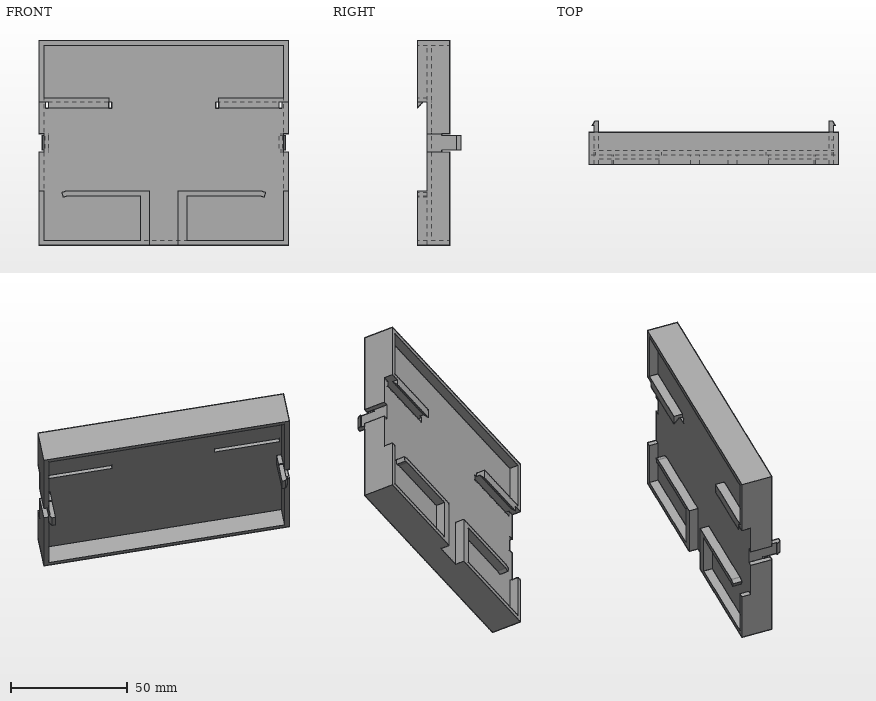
import cadquery as cq
import math

WIDTH = 107.0
HEIGHT = 87.7
BODY_DEPTH = 13.9
TOTAL_DEPTH = 18.7
WALL = 2.1
PLATE_THICKNESS = 2.0
RIM_DEPTH = 4.1
PLATE_BACK = RIM_DEPTH + PLATE_THICKNESS
LEFT = -WIDTH / 2

BAR_TOP = 63.1
BAR_BOTTOM = 61.3
BAR_END = LEFT + 30.0
HOOK_START = LEFT + 4.1
HOOK_DROP = 2.6
HOOK_DEPTH = 2.4
SLOT_MARGIN = 1.2

FRAME_TOP = 23.3
RIB_WIDTH = 4.0
CHANNEL_WIDTH = 12.2
RIB_INNER = -CHANNEL_WIDTH / 2
ARM_BEND_X = LEFT + 12.0
ARM_TIP_LENGTH = 2.2
ARM_TIP_TILT = 18.0

NOTCH_HEIGHT = 7.7
TAB_HEIGHT = 6.3
TAB_THICKNESS = 2.0
TAB_BASE_BACK = 10.5
BARB_REACH = 0.7
BARB_LENGTH = 1.9
BARB_TIP_FLAT = 1.6


def box(x0, x1, y0, y1, z0, z1):
    """Box between two opposite corners."""
    return cq.Workplane("XY").box(x1 - x0, y1 - y0, z1 - z0, centered=False).translate((x0, y0, z0))


def with_mirror(solid):
    """A left-hand feature together with its right-hand twin."""
    return solid.union(solid.mirror("YZ"))


def make_shell():
    """Tray with the plate in front and an open back."""
    shell = box(LEFT, -LEFT, RIM_DEPTH, BODY_DEPTH, 0, HEIGHT)
    cavity = box(LEFT + WALL, -LEFT - WALL, PLATE_BACK, BODY_DEPTH, WALL, HEIGHT - WALL)
    return shell.cut(cavity)


def make_upper_rim():
    """Left side of the upper rim, its bar and the wedge-shaped hook."""
    side = box(LEFT, LEFT + WALL, 0, RIM_DEPTH, BAR_BOTTOM, HEIGHT)
    top = box(LEFT, 0, 0, RIM_DEPTH, HEIGHT - WALL, HEIGHT)
    bar = box(LEFT, BAR_END, 0, RIM_DEPTH, BAR_BOTTOM, BAR_TOP)
    hook = (
        cq.Workplane("YZ", origin=(HOOK_START, 0, 0))
        .moveTo(0, BAR_BOTTOM)
        .lineTo(0, BAR_BOTTOM - HOOK_DROP)
        .lineTo(HOOK_DEPTH, BAR_BOTTOM)
        .close()
        .extrude(BAR_END - HOOK_START)
    )
    return side.union(top).union(bar).union(hook)


def make_hook_slot():
    """Opening through the plate behind the hook."""
    return box(
        HOOK_START - SLOT_MARGIN, BAR_END + SLOT_MARGIN,
        RIM_DEPTH, PLATE_BACK,
        BAR_BOTTOM - HOOK_DROP, BAR_BOTTOM,
    )


def make_arm():
    """Horizontal arm of constant thickness whose free end tilts downward."""
    tilt = math.radians(ARM_TIP_TILT)
    tip_x = ARM_BEND_X - ARM_TIP_LENGTH * math.cos(tilt)
    tip_z = FRAME_TOP - ARM_TIP_LENGTH * math.sin(tilt)
    miter_shift = WALL * math.tan(tilt / 2)
    return (
        cq.Workplane("XZ")
        .moveTo(RIB_INNER, FRAME_TOP)
        .lineTo(ARM_BEND_X, FRAME_TOP)
        .lineTo(tip_x, tip_z)
        .lineTo(tip_x + WALL * math.sin(tilt), tip_z - WALL * math.cos(tilt))
        .lineTo(ARM_BEND_X + miter_shift, FRAME_TOP - WALL)
        .lineTo(RIB_INNER, FRAME_TOP - WALL)
        .close()
        .extrude(-RIM_DEPTH)
    )


def make_lower_frame():
    """Left lower frame: side, bottom, inner rib and arm."""
    side = box(LEFT, LEFT + WALL, 0, RIM_DEPTH, 0, FRAME_TOP)
    bottom = box(LEFT, RIB_INNER, 0, RIM_DEPTH, 0, WALL)
    rib = box(RIB_INNER - RIB_WIDTH, RIB_INNER, 0, RIM_DEPTH, 0, FRAME_TOP)
    return side.union(bottom).union(rib).union(make_arm())


def make_side_notch():
    """Gap through the left wall beside the snap tab."""
    z0 = (HEIGHT - NOTCH_HEIGHT) / 2
    return box(LEFT, LEFT + WALL, RIM_DEPTH, BODY_DEPTH, z0, z0 + NOTCH_HEIGHT)


def make_snap_tab():
    """Tab just inside the left wall, on a wider base, with an outward barb."""
    outer = LEFT + WALL
    inner = outer + TAB_THICKNESS
    base_z = (HEIGHT - NOTCH_HEIGHT) / 2
    base = box(outer, inner, RIM_DEPTH, TAB_BASE_BACK, base_z, base_z + NOTCH_HEIGHT)
    barb_start = TOTAL_DEPTH - BARB_LENGTH
    tab = (
        cq.Workplane("XY", origin=(0, 0, (HEIGHT - TAB_HEIGHT) / 2))
        .moveTo(inner, RIM_DEPTH)
        .lineTo(inner, TOTAL_DEPTH)
        .lineTo(inner - BARB_TIP_FLAT, TOTAL_DEPTH)
        .lineTo(outer - BARB_REACH, barb_start)
        .lineTo(outer, barb_start)
        .lineTo(outer, RIM_DEPTH)
        .close()
        .extrude(TAB_HEIGHT)
    )
    return base.union(tab)


result = (
    make_shell()
    .union(with_mirror(make_upper_rim()))
    .union(with_mirror(make_lower_frame()))
    .cut(with_mirror(make_hook_slot()))
    .cut(with_mirror(make_side_notch()))
    .union(with_mirror(make_snap_tab()))
    .translate((0, -TOTAL_DEPTH / 2, -HEIGHT / 2))
)